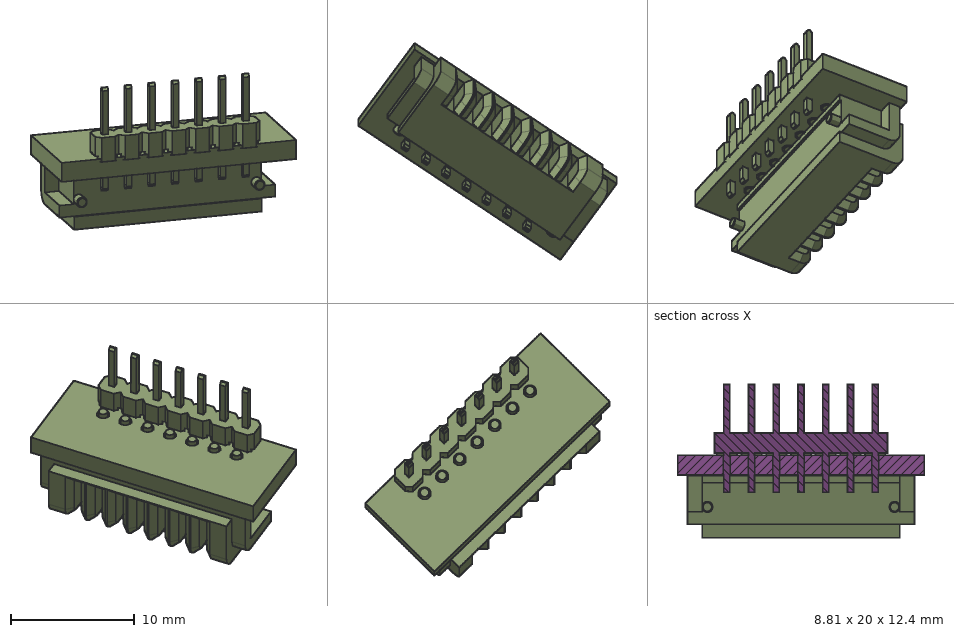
import cadquery as cq

pole_count = 7

board_length = 19.97
board_width = 7.95
board_thickness = 1.62
solder_hole_diameter = 1.0

header_length = 14.0
pitch = header_length / pole_count
header_width = 2.04
header_x = 6.95
header_top = board_thickness + 1.8
header_corner = 0.42
foot_height = 0.42
foot_sink = 0.25
foot_bottom = board_thickness - foot_sink
foot_gap = 1.4
foot_length = 1.65
pin_side = 0.5
pin_top = 7.33
pin_bottom = -1.4
pin_tip_width = 0.12
pin_tip_height = 0.22

wall = 1.02
corner_radius = wall
flange_front = 0.18
flange_back = 4.97
flange_length = 18.37
flange_bottom = -3.97
socket_front = flange_front - wall
socket_back = 5.15
socket_length = 15.98
socket_top = -0.04
socket_bottom = -5.07
rail_top = -0.6

slot_pitch = 1.88
slot_width = 0.65
slot_top = -1.2
slot_bevel = 0.54
slot_floor = flange_front + wall

solder_pin_diameter = 0.72
solder_pin_top = board_thickness + 0.3
peg_diameter = 0.84
peg_z = -2.58
peg_end = 5.93
peg_bevel = 0.05

tolerance = 0.002


def pole_places(spacing):
    """Y places of the poles, evenly spaced about the middle."""
    return [(index - (pole_count - 1) / 2) * spacing for index in range(pole_count)]


def block(x_range, y_range, z_range):
    """Box between two limits along each axis."""
    sizes = [high - low for low, high in (x_range, y_range, z_range)]
    corner = (x_range[0], y_range[0], z_range[0])
    return cq.Workplane("XY").box(*sizes, centered=False).translate(corner)


def centred(length, middle=0.0):
    """Limits of a length about its middle."""
    return (middle - length / 2, middle + length / 2)


def make_board():
    board = block((0, board_width), centred(board_length), (0, board_thickness))
    for y in pole_places(pitch):
        solder_hole = cq.Workplane("XY").center(socket_back, y).circle(solder_hole_diameter / 2)
        board = board.cut(solder_hole.extrude(board_thickness))
        pin_hole = block(centred(pin_side, header_x), centred(pin_side, y), (0, board_thickness))
        board = board.cut(pin_hole).cut(header_feet(y))
    return board


def header_octagon(y):
    """Column of one pole, square with its corners cut off, down to the foot soles."""
    column = cq.Workplane("XY", origin=(header_x, y, foot_bottom)).rect(header_width, pitch)
    return column.extrude(header_top - foot_bottom).edges("|Z").chamfer(header_corner)


def foot_blocks(y):
    """Space taken by the two feet of one pole, before the corners are cut off."""
    foot_width = (header_width - foot_gap) / 2
    foot_level = (foot_bottom, foot_bottom + foot_height)
    feet = cq.Workplane("XY")
    for side in (-1, 1):
        foot_x = header_x + side * (foot_gap + foot_width) / 2
        feet = feet.add(block(centred(foot_width, foot_x), centred(foot_length, y), foot_level))
    return feet.combine()


def header_feet(y):
    return header_octagon(y).intersect(foot_blocks(y))


def header_cell(y):
    """Octagonal column of one pole, standing on its two feet."""
    foot_top = foot_bottom + foot_height
    above_feet = block(centred(header_width, header_x), centred(pitch, y), (foot_top, header_top))
    return header_octagon(y).intersect(above_feet).union(header_feet(y))


def header_pin(y):
    """Square pin, tapered along X at both ends."""
    half = pin_side / 2
    tip = pin_tip_width / 2
    right_side = [
        (tip, pin_bottom),
        (half, pin_bottom + pin_tip_height),
        (half, pin_top - pin_tip_height),
        (tip, pin_top),
    ]
    left_side = [(-x, z) for x, z in reversed(right_side)]
    outline = cq.Workplane("XZ").polyline(right_side + left_side).close()
    return outline.extrude(pin_side / 2, both=True).translate((header_x, y, 0))


def make_header():
    places = pole_places(pitch)
    header = header_cell(places[0])
    for y in places[1:]:
        header = header.union(header_cell(y))
    for y in places:
        header = header.union(header_pin(y))
    return header


def make_rail():
    """Front and bottom of the housing, rounded in front, with bevelled contact slots."""
    rail = block((socket_front, socket_back), centred(socket_length), (socket_bottom, rail_top))
    rail = rail.edges("|Y and <X and <Z").fillet(corner_radius)
    for y in pole_places(slot_pitch):
        slot_y = centred(slot_width, y)
        rail = rail.cut(block((socket_front, slot_floor), slot_y, (socket_bottom, slot_top)))
    return rail.edges().filter(is_slot_mouth).chamfer(slot_bevel)


def is_slot_mouth(edge):
    """True for the slot edges on the outer skin of the rail: in front, around the corner and below."""
    middle = edge.Center()
    between_ends = abs(middle.y) < slot_pitch * pole_count / 2
    beside_slot = edge.BoundingBox().ylen < slot_width + tolerance
    in_front = middle.x < socket_front + tolerance
    below_corner = middle.z < socket_bottom + corner_radius - tolerance
    before_floor = middle.x < slot_floor - tolerance
    return between_ends and beside_slot and (in_front or (below_corner and before_floor))


def make_core():
    """Rail with the set-back top of the housing on it, and a recess across the back."""
    top = block((flange_front, socket_back), centred(socket_length), (rail_top, socket_top))
    recess = block((flange_back, socket_back), centred(socket_length), (flange_bottom, rail_top))
    return make_rail().union(top).cut(recess)


def flange(side):
    """L-shaped rim that stands out from one end of the housing."""
    depth = (flange_length - socket_length) / 2
    y_range = centred(depth, side * (socket_length + depth) / 2)
    rim = block((flange_front, flange_back), y_range, (flange_bottom, socket_top))
    rim = rim.edges("|Y and <X and <Z").fillet(corner_radius)
    inside = block((flange_front + wall, flange_back), y_range, (flange_bottom + wall, socket_top))
    return rim.cut(inside)


def solder_pin(y):
    pin = cq.Workplane("XY", origin=(socket_back, y, socket_top)).circle(solder_pin_diameter / 2)
    return pin.extrude(solder_pin_top - socket_top)


def locating_peg(y):
    peg = cq.Workplane("YZ", origin=(flange_back, y, peg_z)).circle(peg_diameter / 2)
    return peg.extrude(peg_end - flange_back).faces(">X").chamfer(peg_bevel)


def make_socket():
    socket = make_core()
    for y in pole_places(pitch):
        socket = socket.union(solder_pin(y))
    peg_y = (socket_length - peg_diameter) / 2
    for side in (-1, 1):
        socket = socket.union(flange(side)).union(locating_peg(side * peg_y))
    return socket


board = make_board()
header = make_header()
socket = make_socket()

result = cq.Compound.makeCompound([board.val(), header.val(), socket.val()])